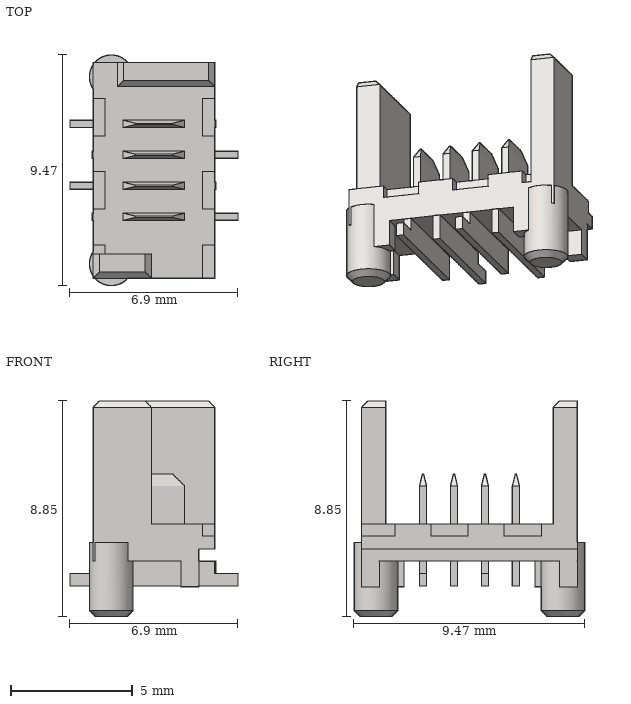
import cadquery as cq


base_length = 5.0
base_width = 8.86
base_underside = 1.03
base_top = 2.56
ledge_underside = 1.52
ledge_depth = 0.66

recess_pitch = 3.0
recess_first_y = 2.18
recess_count = 3
recess_width = 1.53
recess_depth = 0.5

wall_top = 7.6
wall_thickness = 1.0
wall_chamfer = 0.26
south_wall_length = 2.4
north_wall_length = 4.0

leg_size = 0.74
leg_bottom = -0.03
west_leg_inner_y = 2.68

peg_diameter = 1.8
peg_x = -1.75
peg_y = 3.835
peg_top = 1.8
peg_bottom = -1.25
peg_chamfer = 0.25

contact_pitch = 1.27
contact_count = 4
contact_thickness = 0.3
blade_width = 2.52
blade_shoulder = 4.11
blade_tip = 4.61
tip_thickness = 0.05
foot_width = 5.08
tail_step_x = 2.48
tail_reach = 3.45
tail_height = 0.53

half_length = base_length / 2
half_width = base_width / 2


def block(x_min, x_max, y_min, y_max, z_min, z_max):
    """Box given by its limits along each axis."""
    return (
        cq.Workplane("XY")
        .box(x_max - x_min, y_max - y_min, z_max - z_min, centered=False)
        .translate((x_min, y_min, z_min))
    )


def make_base():
    """Base plate with the raised +X ledge and the recesses in both long edges."""
    ledge_x = half_length - ledge_depth
    base = block(-half_length, half_length, -half_width, half_width, base_underside, base_top)
    base = base.cut(
        block(ledge_x, half_length, -half_width, half_width, base_underside, ledge_underside)
    )
    for index in range(recess_count):
        y_centre = recess_first_y - index * recess_pitch
        y_min = y_centre - recess_width / 2
        y_max = y_centre + recess_width / 2
        z_min = base_top - recess_depth
        base = base.cut(
            block(-half_length, -half_length + recess_depth, y_min, y_max, z_min, base_top)
        )
        base = base.cut(
            block(half_length - recess_depth, half_length, y_min, y_max, z_min, base_top)
        )
    return base


def make_wall(x_min, x_max, y_min):
    """Keying wall with its top chamfered on the -Y face and on both ends."""
    wall = block(x_min, x_max, y_min, y_min + wall_thickness, ledge_underside, wall_top)
    return wall.faces(">Z").edges("<Y or <X or >X").chamfer(wall_chamfer)


def make_legs():
    """Square legs: inboard of the pegs on the -X side, at the corners on the +X side."""
    east_x_max = half_length - ledge_depth
    legs = cq.Workplane("XY")
    for x_min, y_inner in (
        (-half_length, west_leg_inner_y),
        (east_x_max - leg_size, half_width - leg_size),
    ):
        leg = block(
            x_min, x_min + leg_size, y_inner, y_inner + leg_size, leg_bottom, base_underside
        )
        legs = legs.add(leg).add(leg.mirror("XZ"))
    return legs.combine()


def make_peg(y_centre):
    """Round locating peg with a chamfered lower end."""
    return (
        cq.Workplane("XY", origin=(peg_x, y_centre, peg_bottom))
        .circle(peg_diameter / 2)
        .extrude(peg_top - peg_bottom)
        .faces("<Z")
        .chamfer(peg_chamfer)
    )


def make_contact(y_centre, tail_side):
    """Blade with a tapered tip, a foot under the base and a tail on one side (-1 or +1 in X)."""
    tip_height = blade_tip - blade_shoulder
    y_min = -contact_thickness / 2
    y_max = contact_thickness / 2
    blade = block(-blade_width / 2, blade_width / 2, y_min, y_max, base_underside, blade_shoulder)
    tip = (
        cq.Workplane("XY", origin=(0, 0, blade_shoulder))
        .rect(blade_width, contact_thickness)
        .workplane(offset=tip_height)
        .rect(blade_width - 2 * tip_height, tip_thickness)
        .loft(ruled=True)
    )
    foot = block(-tail_step_x, foot_width / 2, y_min, y_max, 0, base_underside)
    tail = block(-tail_reach, -tail_step_x, y_min, y_max, 0, tail_height)
    contact = blade.union(tip).union(foot).union(tail)
    if tail_side > 0:
        contact = contact.mirror("YZ")
    return contact.translate((0, y_centre, 0))


result = make_base().union(make_legs())

result = result.union(
    make_wall(-half_length, -half_length + south_wall_length, -half_width)
)
result = result.union(
    make_wall(half_length - north_wall_length, half_length, half_width - wall_thickness)
)

for peg_side in (-1, 1):
    result = result.union(make_peg(peg_side * peg_y))

first_contact_y = contact_pitch * (contact_count - 1) / 2
for index in range(contact_count):
    tail_direction = -1 if index % 2 == 0 else 1
    result = result.union(make_contact(first_contact_y - index * contact_pitch, tail_direction))